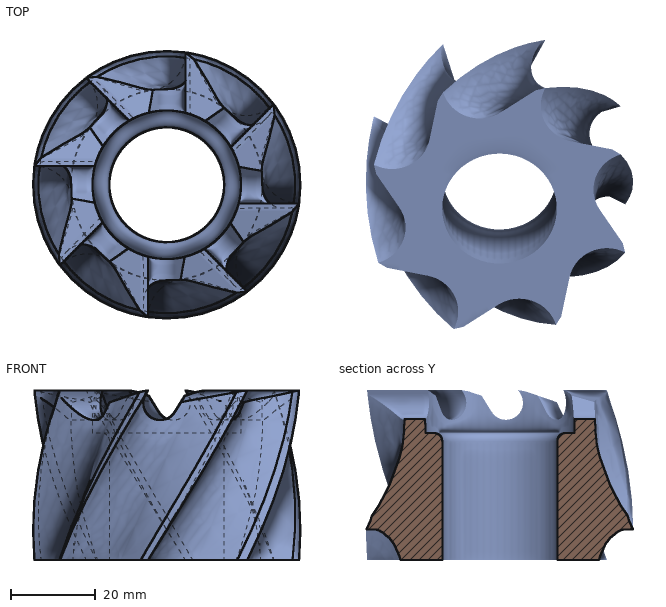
import cadquery as cq
import math

TOOTH_COUNT = 8
TIP_RADIUS = 31.5
HEIGHT = 40.0
TWIST = 45.0

RAKE_ANGLE = 8.0
LAND_WIDTH = 1.77
LAND_ANGLE = 41.5
FLANK_ANGLE = 28.5
FLUTE_RADIUS = 9.0

BORE_RADIUS = 13.5
BORE_FILLET = 2.0
RECESS_RADIUS = 17.5
RECESS_DEPTH = 10.0

GASH_RADIUS = 4.0
GASH_DEPTH = 7.0

END_LAND_ANGLE = 10.0
END_RELIEF_ANGLE = 19.0

CUT_INNER_RADIUS = 8.0
CUT_OUTER_RADIUS = TIP_RADIUS + 3.0
CUT_TOP = HEIGHT + 5.0
GASH_LENGTH = 2 * GASH_DEPTH
RELIEF_FAR_X = -15.0

TOOTH_PITCH = 360.0 / TOOTH_COUNT
RAKE_X = -TIP_RADIUS * math.sin(math.radians(RAKE_ANGLE))
TIP_Y = -TIP_RADIUS * math.cos(math.radians(RAKE_ANGLE))
LAND_END_X = RAKE_X - LAND_WIDTH
HELIX_ANGLE = math.degrees(math.atan(TIP_RADIUS * math.radians(TWIST) / HEIGHT))


def tan_deg(angle):
    return math.tan(math.radians(angle))


def turned(vector, angle):
    """Rotate a vector about the Z axis by an angle in degrees."""
    cos_a = math.cos(math.radians(angle))
    sin_a = math.sin(math.radians(angle))
    return cq.Vector(vector.x * cos_a - vector.y * sin_a, vector.x * sin_a + vector.y * cos_a)


def tooth_points():
    """Tip, back of the land, and start, middle and end of the flute arc of the reference tooth.

    The arc rounds the corner between this tooth's flank and the rake face of the next tooth.
    """
    tip = cq.Vector(RAKE_X, TIP_Y)
    land_end = cq.Vector(LAND_END_X, TIP_Y + LAND_WIDTH * tan_deg(LAND_ANGLE))
    next_tip = turned(tip, -TOOTH_PITCH)

    flank_inward = turned(cq.Vector(0, 1), FLANK_ANGLE)
    rake_inward = turned(cq.Vector(0, 1), -TOOTH_PITCH)
    flank_length = (next_tip - land_end).cross(rake_inward).z / flank_inward.cross(rake_inward).z
    corner = land_end + flank_inward * flank_length

    half_opening = (FLANK_ANGLE + TOOTH_PITCH) / 2
    tangent_length = FLUTE_RADIUS / tan_deg(half_opening)
    center_distance = FLUTE_RADIUS / math.sin(math.radians(half_opening))
    bisector_outward = turned(cq.Vector(0, -1), FLANK_ANGLE - half_opening)

    arc_start = corner - flank_inward * tangent_length
    arc_middle = corner + bisector_outward * (center_distance - FLUTE_RADIUS)
    arc_end = corner - rake_inward * tangent_length
    return tip, land_end, arc_start, arc_middle, arc_end


def toothed_body():
    """Profile at the bottom face, twisted so that the reference tooth lines up at the top face."""
    points = tooth_points()
    edges = []
    for i in range(TOOTH_COUNT):
        angle = -TWIST - i * TOOTH_PITCH
        tip, land_end, arc_start, arc_middle, arc_end = [turned(p, angle) for p in points]
        next_tip = turned(tip, -TOOTH_PITCH)
        edges.append(cq.Edge.makeLine(tip, land_end))
        edges.append(cq.Edge.makeLine(land_end, arc_start))
        edges.append(cq.Edge.makeThreePointArc(arc_start, arc_middle, arc_end))
        edges.append(cq.Edge.makeLine(arc_end, next_tip))
    profile = cq.Wire.assembleEdges(edges)
    return cq.Workplane("XY").add(profile).toPending().twistExtrude(HEIGHT, TWIST)


def arbor_bore():
    """Through bore with a wider recess from the top and a rounded edge between them."""
    floor_z = HEIGHT - RECESS_DEPTH
    return (
        cq.Workplane("XZ")
        .lineTo(BORE_RADIUS, 0)
        .lineTo(BORE_RADIUS, floor_z - BORE_FILLET)
        .radiusArc((BORE_RADIUS + BORE_FILLET, floor_z), BORE_FILLET)
        .lineTo(RECESS_RADIUS, floor_z)
        .lineTo(RECESS_RADIUS, CUT_TOP)
        .lineTo(0, CUT_TOP)
        .close()
        .revolve(360, (0, 0), (0, 1))
    )


def end_profile_plane():
    """XZ plane inside the recess, facing outwards along the reference tooth."""
    return cq.Workplane("XZ", origin=(0, -CUT_INNER_RADIUS, 0))


def radial_cut(profile):
    """Extrude an XZ profile outwards along -Y across the ring of teeth."""
    return profile.extrude(CUT_OUTER_RADIUS - CUT_INNER_RADIUS)


def chip_gash():
    """Slot leaning at the helix angle, one wall running up to the cutting edge of the tooth end."""
    center_z = HEIGHT - GASH_DEPTH + GASH_RADIUS
    wall_x = RAKE_X - (HEIGHT - center_z) * tan_deg(HELIX_ANGLE)
    center_x = wall_x + GASH_RADIUS / math.cos(math.radians(HELIX_ANGLE))
    upright_slot = (
        end_profile_plane()
        .moveTo(-GASH_RADIUS, 0)
        .threePointArc((0, -GASH_RADIUS), (GASH_RADIUS, 0))
        .lineTo(GASH_RADIUS, GASH_LENGTH)
        .lineTo(-GASH_RADIUS, GASH_LENGTH)
        .close()
    )
    leaning_slot = radial_cut(upright_slot).rotate((0, 0, 0), (0, 1, 0), HELIX_ANGLE)
    return leaning_slot.translate((center_x, 0, center_z))


def end_relief():
    """Space above the end land and the steeper relief behind it."""
    land_end_z = HEIGHT - LAND_WIDTH * tan_deg(END_LAND_ANGLE)
    far_z = land_end_z - (LAND_END_X - RELIEF_FAR_X) * tan_deg(END_RELIEF_ANGLE)
    wedge = (
        end_profile_plane()
        .moveTo(RAKE_X, HEIGHT)
        .lineTo(LAND_END_X, land_end_z)
        .lineTo(RELIEF_FAR_X, far_z)
        .lineTo(RELIEF_FAR_X, CUT_TOP)
        .lineTo(RAKE_X, CUT_TOP)
        .close()
    )
    return radial_cut(wedge)


body = toothed_body().cut(arbor_bore())
tooth_end_cuts = (chip_gash(), end_relief())
for i in range(TOOTH_COUNT):
    for cutter in tooth_end_cuts:
        body = body.cut(cutter.rotate((0, 0, 0), (0, 0, 1), i * TOOTH_PITCH))

result = body.solids()